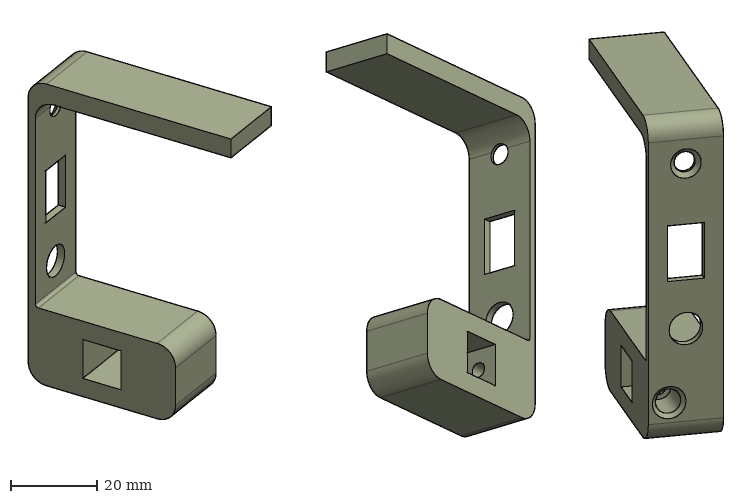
import cadquery as cq

width = 18.0
height = 80.0
arm_length = 55.0
arm_thickness = 5.0
wall_thickness = 2.0
block_length = 40.0
block_height = 20.0
corner_radius = 5.0
arm_fillet_radius = 5.0
block_fillet = 0.8

window_size = 10.3
window_center_x = 20.0
window_center_z = block_height / 2

upper_hole_diameter = 5.0
upper_hole_chamfer = 1.15
upper_hole_z = 69.0
slot_width = 8.8
slot_height = 13.8
slot_z = 47.0
lower_hole_diameter = 8.0
lower_hole_z = 28.0

screw_y = 4.0
screw_z = block_height / 2
screw_diameter = 3.6
head_diameter = 6.0
head_depth = 10.0
head_chamfer = 1.0


def make_body():
    """C-shaped bracket: top arm, thin wall and thick bottom block, with rounded corners."""
    arm_underside = height - arm_thickness
    body = (
        cq.Workplane("XZ")
        .polyline([
            (0, 0),
            (block_length, 0),
            (block_length, block_height),
            (wall_thickness, block_height),
            (wall_thickness, arm_underside),
            (arm_length, arm_underside),
            (arm_length, height),
            (0, height),
        ])
        .close()
        .extrude(width / 2, both=True)
    )

    def round_edge(solid, x, z, radius):
        return solid.edges(cq.selectors.NearestToPointSelector((x, 0, z))).fillet(radius)

    for x, z in [(0, 0), (block_length, 0), (block_length, block_height), (0, height)]:
        body = round_edge(body, x, z, corner_radius)
    body = round_edge(body, wall_thickness, arm_underside, arm_fillet_radius)
    return round_edge(body, wall_thickness, block_height, block_fillet)


def back_bore(y, z, diameter, depth):
    """Cylinder entering the back face and running along +X."""
    return cq.Workplane("YZ").center(y, z).circle(diameter / 2).extrude(depth)


def back_countersink(y, z, diameter, chamfer):
    """45 degree cone that widens a bore where it meets the back face."""
    cone = cq.Solid.makeCone(
        diameter / 2 + chamfer, diameter / 2, chamfer, cq.Vector(0, y, z), cq.Vector(1, 0, 0)
    )
    return cq.Workplane(cone)


def cut_wall_openings(body):
    """Countersunk upper hole, rectangular slot and plain lower hole through the wall."""
    through_depth = wall_thickness + arm_fillet_radius
    slot = cq.Workplane("YZ").center(0, slot_z).rect(slot_width, slot_height).extrude(through_depth)
    return (
        body.cut(back_bore(0, upper_hole_z, upper_hole_diameter, through_depth))
        .cut(back_countersink(0, upper_hole_z, upper_hole_diameter, upper_hole_chamfer))
        .cut(slot)
        .cut(back_bore(0, lower_hole_z, lower_hole_diameter, through_depth))
    )


def cut_block_openings(body):
    """Square window across the block and the screw hole that leads into it."""
    window = cq.Workplane("XY").box(window_size, width, window_size)
    window = window.translate((window_center_x, 0, window_center_z))
    return (
        body.cut(window)
        .cut(back_bore(screw_y, screw_z, screw_diameter, window_center_x))
        .cut(back_bore(screw_y, screw_z, head_diameter, head_depth))
        .cut(back_countersink(screw_y, screw_z, head_diameter, head_chamfer))
    )


result = cut_block_openings(cut_wall_openings(make_body()))